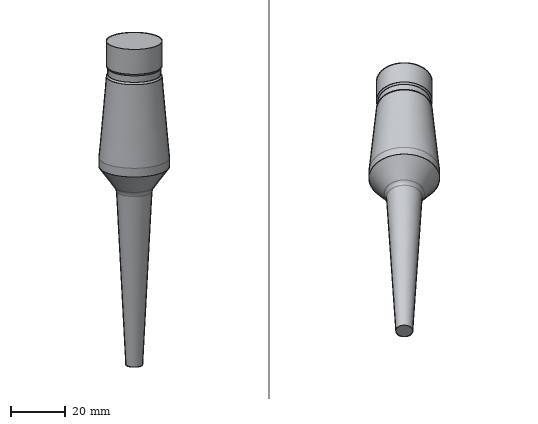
import cadquery as cq

total_height = 125.0
shank_top = 67.0
flare_bottom = 68.9
belt_bottom = 76.6
belt_top = 80.0
body_top = 111.4
cap_bottom = 115.4

tip_diameter = 6.2
shank_diameter = 13.1
flare_bottom_diameter = 14.8
belt_diameter = 26.0
cap_diameter = 20.5

groove_depth = 0.5
groove_side_height = 0.8
neck_diameter = cap_diameter - 2 * groove_depth

tip_radius = tip_diameter / 2
shank_radius = shank_diameter / 2
flare_bottom_radius = flare_bottom_diameter / 2
belt_radius = belt_diameter / 2
cap_radius = cap_diameter / 2
neck_radius = neck_diameter / 2

profile = (
    cq.Workplane("XZ")
    .lineTo(tip_radius, 0)
    .lineTo(shank_radius, shank_top)
    .tangentArcPoint((flare_bottom_radius, flare_bottom), relative=False)
    .lineTo(belt_radius, belt_bottom)
    .lineTo(belt_radius, belt_top)
    .lineTo(cap_radius, body_top)
    .lineTo(neck_radius, body_top + groove_side_height)
    .lineTo(neck_radius, cap_bottom - groove_side_height)
    .lineTo(cap_radius, cap_bottom)
    .lineTo(cap_radius, total_height)
    .lineTo(0, total_height)
    .close()
)

result = profile.revolve(360, (0, 0, 0), (0, 1, 0))